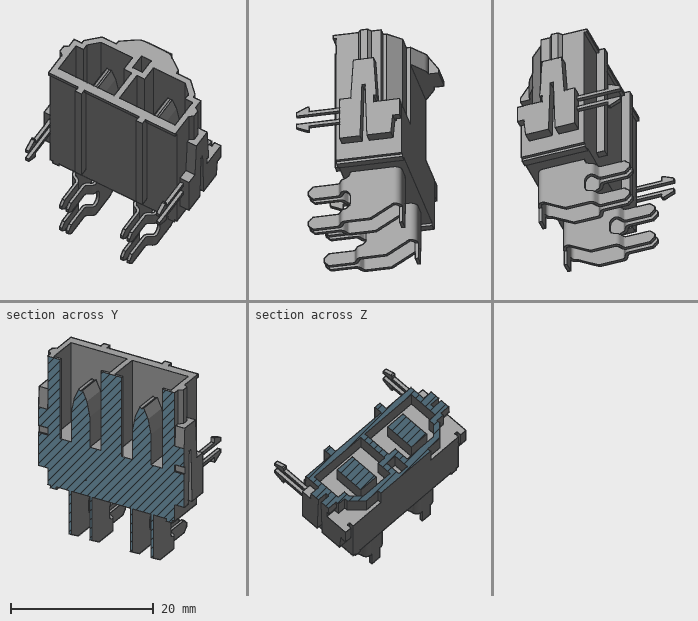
import cadquery as cq
import math


OVERALL_HEIGHT = 29.1
PITCH = 10.0
TERMINAL_XS = (-PITCH / 2, PITCH / 2)

HOUSING_HEIGHT = 20.6
HOUSING_HALF_WIDTH = 10.42
HOUSING_BACK = 9.43
SHELF_HEIGHT = 7.97
SHELL_BACK = 8.88
SHELL_HALF_WIDTH = 9.17
SHELL_CHAMFER = 1.9
SHOULDER_BACK = 6.5
TOWER_HALF_WIDTH = 4.95
LIP_HEIGHT = 0.52
LIP_DEPTH = 0.45
FOOT_HEIGHT = 0.4
FOOT_WIDTH = 1.05
FOOT_X = 9.5

HOOD_HEIGHT = 2.8
HOOD_BACK = 11.32
HOOD_CREST_HALF_WIDTH = 2.4
HOOD_RADIUS = 1.6
LATCH_BACK = 12.77
LATCH_HALF_WIDTH = 1.83
LATCH_TIP_HEIGHT = 0.67

FRONT_RIB_WIDTH = 1.05
FRONT_RIB_DEPTH = 1.25
FRONT_RIB_BOTTOM = 1.9
SIDE_RIB_Y = 4.15
SIDE_RIB_HALF_BASE = 0.93
SIDE_RIB_HALF_CREST = 0.5
SIDE_RIB_OUTER = 11.03

POCKET_FLOOR = SHELF_HEIGHT
POCKET_HALF_WIDTH = 4.57
POCKET_FRONT = 0.93
POCKET_STEP_Y = 5.62
POCKET_BACK = 7.97
POCKET_INNER_STEP = 1.28
POCKET_OUTER_STEP = 1.22
POCKET_CHAMFER = 1.43
KEY_WIDTH = 1.6
KEY_FRONT = 6.5
KEY_BACK = 8.88

POST_FRONT = 2.3
POST_BACK = 7.07
POST_TOP = 16.7
POST_HALF_WIDTH = 1.55
POST_KNEE_HALF_WIDTH = 1.08
POST_CREST_HALF_WIDTH = 0.35
POST_VALLEY_DEPTH = 0.17
POST_KNEE_Z = 15.1
POST_SHOULDER_Z = 12.77

WING_SPAN = 23.83
WING_OUTER = WING_SPAN / 2
WING_TOP = 15.22
WING_STEP_Z = 9.02
WING_BOTTOM = 2.62
WING_FRONT = 0.85
WING_AXIS_Y = 4.28
WING_TOP_HALF = 1.45
WING_FLARE_HALF = 1.83
WING_LUG_Z = 5.38
WING_LUG_FRONT = 8.47
WING_REAR_FOOT = 8.2
SLOT_TOP = 11.0
SLOT_TOP_HALF = 0.23
SLOT_BOTTOM_HALF = 0.5
NOTCH_WIDTH = 0.45
NOTCH_DEPTH = 0.73

LOCK_INNER = 10.48
LOCK_AXIS_Z = 6.98
LOCK_GAP = 1.35
LOCK_ARM_HEIGHT = 0.52
LOCK_TIP_Y = -5.6
BARB_Y = -3.78
BARB_CREST_LENGTH = 0.25
BARB_HEIGHT = 0.73

SHEET = 0.45
CHANNEL_HALF_WIDTH = 1.92
CHANNEL_BACK = 8.5
CHANNEL_FRONT = 1.25
CHANNEL_BEND = 1.05
CHANNEL_BOTTOM = -6.0
TAB_HALF_WIDTH = 0.8
TAB_BOTTOM = HOUSING_HEIGHT - OVERALL_HEIGHT
LEG_HEIGHT = 1.98
LEG_TOP = -1.02
LEG_PITCH = 4.98
LEG_TIP_Y = -5.05
LEG_TIP_CHAMFER = 0.7
LEG_OUTER_HALF = 0.75
THROAT_RADIUS = 1.02
LOWER_CORNER_Y = 4.13
JOG_START_Y = 0.52
JOG_ANGLE = math.radians(60)
JOG_BEND = 0.81
EMBED = 0.3


def block(x0, x1, y0, y1, z0, z1):
    """Box between two opposite corners."""
    return cq.Workplane("XY").box(x1 - x0, y1 - y0, z1 - z0, centered=False).translate((x0, y0, z0))


def plan_prism(points, z0, z1):
    """Closed XY outline extruded between two heights."""
    return cq.Workplane("XY").workplane(offset=z0).polyline(points).close().extrude(z1 - z0)


def side_prism(points, x0, x1):
    """Closed YZ outline extruded between two X positions."""
    return cq.Workplane("YZ").workplane(offset=x0).polyline(points).close().extrude(x1 - x0)


def mirrored_outline(half):
    """Complete a plan outline from the points on its +X side."""
    return half + [(-x, y) for x, y in reversed(half)]


def with_mirror(body):
    """Body together with its mirror image across X = 0."""
    return body.union(body.mirror("YZ"))


def make_shell():
    base = block(-HOUSING_HALF_WIDTH, HOUSING_HALF_WIDTH, 0, HOUSING_BACK, 0, SHELF_HEIGHT)
    half_outline = [
        (HOUSING_HALF_WIDTH, 0),
        (HOUSING_HALF_WIDTH, SHOULDER_BACK),
        (SHELL_HALF_WIDTH, SHOULDER_BACK),
        (SHELL_HALF_WIDTH, SHELL_BACK - SHELL_CHAMFER),
        (SHELL_HALF_WIDTH - SHELL_CHAMFER, SHELL_BACK),
        (TOWER_HALF_WIDTH, SHELL_BACK),
        (TOWER_HALF_WIDTH, HOUSING_BACK),
    ]
    shell = plan_prism(mirrored_outline(half_outline), SHELF_HEIGHT, HOUSING_HEIGHT)
    lip = block(-HOUSING_HALF_WIDTH, HOUSING_HALF_WIDTH, -LIP_DEPTH, 0,
                HOUSING_HEIGHT - LIP_HEIGHT, HOUSING_HEIGHT)
    foot = block(FOOT_X - FOOT_WIDTH / 2, FOOT_X + FOOT_WIDTH / 2, 0, HOUSING_BACK, -FOOT_HEIGHT, 0)
    return base.union(shell).union(lip).union(with_mirror(foot))


def make_latch():
    hood_bottom = HOUSING_HEIGHT - HOOD_HEIGHT
    half_outline = [
        (TOWER_HALF_WIDTH, HOUSING_BACK - EMBED),
        (TOWER_HALF_WIDTH, HOUSING_BACK),
        (HOOD_CREST_HALF_WIDTH, HOOD_BACK),
    ]
    hood = plan_prism(mirrored_outline(half_outline), hood_bottom, HOUSING_HEIGHT)
    hood = hood.edges("|Z and >Y").fillet(HOOD_RADIUS)
    hook = side_prism([
        (HOOD_BACK - EMBED, hood_bottom),
        (LATCH_BACK, hood_bottom),
        (LATCH_BACK, hood_bottom + LATCH_TIP_HEIGHT),
        (HOOD_BACK, HOUSING_HEIGHT),
        (HOOD_BACK - EMBED, HOUSING_HEIGHT),
    ], -LATCH_HALF_WIDTH, LATCH_HALF_WIDTH)
    return hood.union(hook)


def make_ribs():
    front_rib = block(PITCH / 2 - FRONT_RIB_WIDTH / 2, PITCH / 2 + FRONT_RIB_WIDTH / 2,
                      -FRONT_RIB_DEPTH, 0, FRONT_RIB_BOTTOM, HOUSING_HEIGHT)
    side_rib = plan_prism([
        (HOUSING_HALF_WIDTH, SIDE_RIB_Y - SIDE_RIB_HALF_BASE),
        (SIDE_RIB_OUTER, SIDE_RIB_Y - SIDE_RIB_HALF_CREST),
        (SIDE_RIB_OUTER, SIDE_RIB_Y + SIDE_RIB_HALF_CREST),
        (HOUSING_HALF_WIDTH, SIDE_RIB_Y + SIDE_RIB_HALF_BASE),
    ], WING_TOP, HOUSING_HEIGHT)
    return with_mirror(front_rib.union(side_rib))


def make_cavities():
    inner = PITCH / 2 - POCKET_HALF_WIDTH
    outer = PITCH / 2 + POCKET_HALF_WIDTH
    outer_stepped = outer - POCKET_OUTER_STEP
    pocket = plan_prism([
        (inner, POCKET_FRONT),
        (outer, POCKET_FRONT),
        (outer, POCKET_STEP_Y),
        (outer_stepped, POCKET_STEP_Y),
        (outer_stepped, POCKET_BACK - POCKET_CHAMFER),
        (outer_stepped - POCKET_CHAMFER, POCKET_BACK),
        (inner + POCKET_INNER_STEP, POCKET_BACK),
        (inner + POCKET_INNER_STEP, POCKET_STEP_Y),
        (inner, POCKET_STEP_Y),
    ], POCKET_FLOOR, HOUSING_HEIGHT)
    keyway = block(-KEY_WIDTH / 2, KEY_WIDTH / 2, KEY_FRONT, KEY_BACK, POCKET_FLOOR, HOUSING_HEIGHT)
    return with_mirror(pocket).union(keyway)


def make_post():
    """Contact post with a notched, tapering top, centred on X = 0."""
    half_outline = [
        (POST_HALF_WIDTH, POCKET_FLOOR - EMBED),
        (POST_HALF_WIDTH, POST_SHOULDER_Z),
        (POST_KNEE_HALF_WIDTH, POST_KNEE_Z),
        (POST_CREST_HALF_WIDTH, POST_TOP),
    ]
    valley = [(0, POST_TOP - POST_VALLEY_DEPTH)]
    outline = half_outline + valley + [(-x, z) for x, z in reversed(half_outline)]
    post = cq.Workplane("XZ").polyline(outline).close().extrude(POST_FRONT - POST_BACK)
    return post.translate((0, POST_FRONT, 0))


def make_wing():
    """Wing on the +X side with its tapered slot and rear notch."""
    outline = [
        (WING_FRONT, WING_BOTTOM),
        (WING_FRONT, WING_STEP_Z),
        (WING_AXIS_Y - WING_FLARE_HALF, WING_STEP_Z),
        (WING_AXIS_Y - WING_TOP_HALF, WING_TOP),
        (WING_AXIS_Y + WING_TOP_HALF, WING_TOP),
        (WING_AXIS_Y + WING_FLARE_HALF, WING_STEP_Z),
        (WING_AXIS_Y + WING_TOP_HALF, WING_STEP_Z),
        (WING_AXIS_Y + WING_TOP_HALF, SHELF_HEIGHT),
        (HOUSING_BACK, SHELF_HEIGHT),
        (HOUSING_BACK, WING_LUG_Z),
        (WING_LUG_FRONT, WING_LUG_Z),
        (WING_REAR_FOOT, WING_BOTTOM),
        (WING_AXIS_Y + SLOT_BOTTOM_HALF, WING_BOTTOM),
        (WING_AXIS_Y + SLOT_TOP_HALF, SLOT_TOP),
        (WING_AXIS_Y - SLOT_TOP_HALF, SLOT_TOP),
        (WING_AXIS_Y - SLOT_BOTTOM_HALF, WING_BOTTOM),
    ]
    wing = side_prism(outline, HOUSING_HALF_WIDTH, WING_OUTER)
    notch = block(HOUSING_HALF_WIDTH, HOUSING_HALF_WIDTH + NOTCH_WIDTH,
                  HOUSING_BACK - NOTCH_DEPTH, HOUSING_BACK, WING_BOTTOM, SHELF_HEIGHT)
    return wing.cut(notch)


def make_lock_arms():
    """Pair of barbed arms that reach forward from the +X wing."""
    bottom = LOCK_GAP / 2
    top = bottom + LOCK_ARM_HEIGHT
    upper = side_prism([
        (WING_FRONT + EMBED, bottom),
        (WING_FRONT + EMBED, top),
        (BARB_Y, top),
        (BARB_Y, top + BARB_HEIGHT),
        (BARB_Y - BARB_CREST_LENGTH, top + BARB_HEIGHT),
        (LOCK_TIP_Y, top),
        (LOCK_TIP_Y, bottom),
    ], LOCK_INNER, SIDE_RIB_OUTER)
    return upper.union(upper.mirror("XY")).translate((0, 0, LOCK_AXIS_Z))


def around(center, radius, angle):
    """Point at an angle on a circle."""
    return (center[0] + radius * math.cos(angle), center[1] + radius * math.sin(angle))


def make_terminal_plan():
    """Plan of the +X half of the bent sheet: rear wall, channel wall, inward jog and leg."""
    inner_half = CHANNEL_HALF_WIDTH - SHEET
    corner = (CHANNEL_HALF_WIDTH - CHANNEL_BEND, CHANNEL_BACK - CHANNEL_BEND)
    corner_inner = CHANNEL_BEND - SHEET
    diagonal = math.pi / 4

    first = (CHANNEL_HALF_WIDTH - JOG_BEND, JOG_START_Y)
    first_inner = JOG_BEND - SHEET
    second_inner = SHEET
    second_outer = second_inner + SHEET
    second_x = LEG_OUTER_HALF + second_inner
    first_end = around(first, JOG_BEND, -JOG_ANGLE)
    second_start_x = second_x - second_inner * math.cos(JOG_ANGLE)
    slant_drop = (first_end[0] - second_start_x) / math.tan(JOG_ANGLE)
    second = (second_x, first_end[1] - slant_drop - second_inner * math.sin(JOG_ANGLE))

    return (
        cq.Workplane("XY").workplane(offset=TAB_BOTTOM)
        .moveTo(0, CHANNEL_BACK)
        .lineTo(corner[0], CHANNEL_BACK)
        .threePointArc(around(corner, CHANNEL_BEND, diagonal), (CHANNEL_HALF_WIDTH, corner[1]))
        .lineTo(CHANNEL_HALF_WIDTH, JOG_START_Y)
        .threePointArc(around(first, JOG_BEND, -JOG_ANGLE / 2), first_end)
        .lineTo(*around(second, second_inner, math.pi - JOG_ANGLE))
        .threePointArc(around(second, second_inner, math.pi - JOG_ANGLE / 2), (LEG_OUTER_HALF, second[1]))
        .lineTo(LEG_OUTER_HALF, LEG_TIP_Y)
        .lineTo(LEG_OUTER_HALF - SHEET, LEG_TIP_Y)
        .lineTo(LEG_OUTER_HALF - SHEET, second[1])
        .threePointArc(around(second, second_outer, math.pi - JOG_ANGLE / 2),
                       around(second, second_outer, math.pi - JOG_ANGLE))
        .lineTo(*around(first, first_inner, -JOG_ANGLE))
        .threePointArc(around(first, first_inner, -JOG_ANGLE / 2), (inner_half, JOG_START_Y))
        .lineTo(inner_half, corner[1])
        .threePointArc(around(corner, corner_inner, diagonal), (corner[0], CHANNEL_BACK - SHEET))
        .lineTo(0, CHANNEL_BACK - SHEET)
        .close()
        .extrude(EMBED - TAB_BOTTOM)
    )


def make_leg_blank(top):
    """Side outline of one leg with its chamfered tip, as a wide prism."""
    bottom = top - LEG_HEIGHT
    return side_prism([
        (CHANNEL_FRONT + THROAT_RADIUS, bottom),
        (CHANNEL_FRONT + THROAT_RADIUS, top),
        (LEG_TIP_Y + LEG_TIP_CHAMFER, top),
        (LEG_TIP_Y, top - LEG_TIP_CHAMFER),
        (LEG_TIP_Y, bottom + LEG_TIP_CHAMFER),
        (LEG_TIP_Y + LEG_TIP_CHAMFER, bottom),
    ], -CHANNEL_HALF_WIDTH, CHANNEL_HALF_WIDTH)


def make_throat_fillet(leg_edge_z, direction):
    """Concave corner between the channel front and a leg edge; direction is +1 above the leg, -1 below."""
    center = (CHANNEL_FRONT - THROAT_RADIUS, leg_edge_z + direction * THROAT_RADIUS)
    middle = around(center, THROAT_RADIUS, -direction * math.pi / 4)
    return (
        cq.Workplane("YZ").workplane(offset=-CHANNEL_HALF_WIDTH)
        .moveTo(center[0], leg_edge_z)
        .threePointArc(middle, (CHANNEL_FRONT, center[1]))
        .lineTo(CHANNEL_FRONT + EMBED, center[1])
        .lineTo(CHANNEL_FRONT + EMBED, leg_edge_z - direction * EMBED)
        .lineTo(center[0], leg_edge_z - direction * EMBED)
        .close()
        .extrude(2 * CHANNEL_HALF_WIDTH)
    )


def make_terminal():
    """Bent sheet terminal below the housing, centred on X = 0."""
    lower_leg_top = LEG_TOP - LEG_PITCH
    upper_leg_bottom = LEG_TOP - LEG_HEIGHT
    leg_bottom = lower_leg_top - LEG_HEIGHT
    side = side_prism([
        (CHANNEL_FRONT, EMBED),
        (CHANNEL_BACK, EMBED),
        (CHANNEL_BACK, CHANNEL_BOTTOM),
        (CHANNEL_BACK - CHANNEL_BEND, CHANNEL_BOTTOM),
        (LOWER_CORNER_Y, leg_bottom),
        (CHANNEL_FRONT, leg_bottom),
    ], -CHANNEL_HALF_WIDTH, CHANNEL_HALF_WIDTH)
    for top in (LEG_TOP, lower_leg_top):
        side = side.union(make_leg_blank(top))
    for edge_z, direction in ((LEG_TOP, 1), (upper_leg_bottom, -1), (lower_leg_top, 1)):
        side = side.union(make_throat_fillet(edge_z, direction))

    sheet = with_mirror(make_terminal_plan()).intersect(side)
    tab = block(-TAB_HALF_WIDTH, TAB_HALF_WIDTH, CHANNEL_BACK - SHEET, CHANNEL_BACK,
                TAB_BOTTOM, CHANNEL_BOTTOM + EMBED)
    return sheet.union(tab)


housing = make_shell().union(make_latch()).union(make_ribs()).cut(make_cavities())
housing = housing.union(with_mirror(make_wing().union(make_lock_arms())))

post = make_post()
terminal = make_terminal()
result = housing
for terminal_x in TERMINAL_XS:
    result = result.union(post.translate((terminal_x, 0, 0)))
    result = result.union(terminal.translate((terminal_x, 0, 0)))